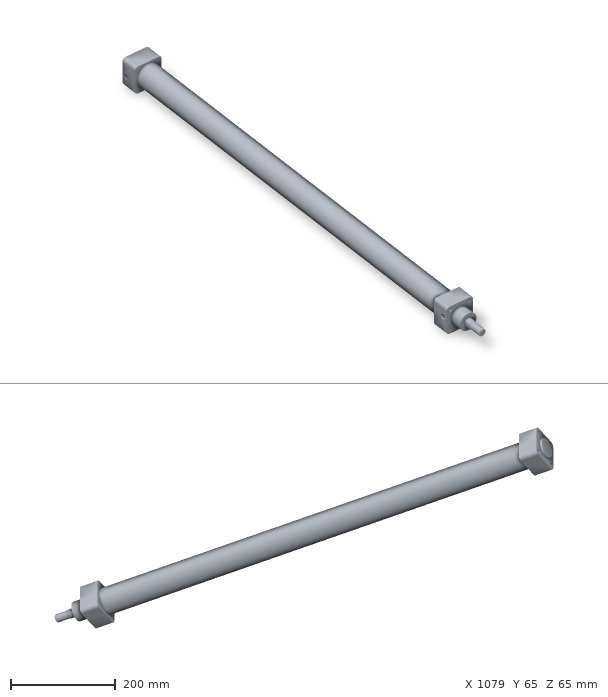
import cadquery as cq

length = 1079.0
square = 65.0
corner_radius = 8.0

boss_height = 4.0
cap_depth = 23.0
flange_depth = 16.0
collar_height = 26.0
neck_length = 15.0
rod_length = 44.0

rear_cap_start = boss_height
rear_flange_start = rear_cap_start + cap_depth
tube_start = rear_flange_start + flange_depth
rod_start = length - rod_length
front_cap_end = rod_start - collar_height
front_cap_start = front_cap_end - cap_depth
front_flange_start = front_cap_start - flange_depth
neck_end = rod_start + neck_length

tube_diameter = 54.0
boss_diameter = 40.0
neck_diameter = 18.0
thread_diameter = 16.0

flat_spacing = thread_diameter
neck_chamfer = (neck_diameter - thread_diameter) / 2
tip_chamfer = 1.0

port_diameter = 12.0
port_depth = 11.0
port_offset = 5.0

cushion_diameter = 3.0
cushion_depth = 2.0
cushion_inset = 3.0
cushion_offset = 6.0

screw_diameter = 6.0
screw_pitch = 46.0


def cylinder(start, end, diameter):
    """Round bar on the X axis."""
    return cq.Workplane("YZ", origin=(start, 0, 0)).circle(diameter / 2).extrude(end - start)


def square_block(start, depth):
    """Square block centred on the X axis, with its four long edges rounded."""
    block = cq.Workplane("YZ", origin=(start, 0, 0)).rect(square, square).extrude(depth)
    return block.edges("|X").fillet(corner_radius)


def screw_holes(start):
    return (
        cq.Workplane("YZ", origin=(start, 0, 0))
        .rect(screw_pitch, screw_pitch, forConstruction=True)
        .vertices()
        .circle(screw_diameter / 2)
        .extrude(cap_depth)
    )


def side_hole(x, z, diameter, depth):
    """Blind hole drilled into the -Y face."""
    return cq.Workplane("XZ", origin=(x, -square / 2, z)).circle(diameter / 2).extrude(-depth)


def make_cap(start, boss, outward):
    """End cap with its boss. outward is the X direction away from the tube, -1 or 1.

    The side holes lie below the axis on the rear cap and above it on the front cap.
    """
    middle = start + cap_depth / 2
    cushion_x = middle + outward * (cap_depth / 2 - cushion_inset)
    port = side_hole(middle, outward * port_offset, port_diameter, port_depth)
    cushion = side_hole(cushion_x, outward * cushion_offset, cushion_diameter, cushion_depth)
    cap = square_block(start, cap_depth).union(boss)
    return cap.cut(screw_holes(start)).cut(port).cut(cushion)


def make_rod():
    """Rod end: chamfered neck with two flats facing -Y and +Y, then the threaded stub."""
    neck = cylinder(rod_start, neck_end, neck_diameter).faces(">X").chamfer(neck_chamfer)
    between_flats = cq.Workplane("YZ", origin=(rod_start, 0, 0)).rect(flat_spacing, neck_diameter)
    neck = neck.intersect(between_flats.extrude(neck_length))
    thread = cylinder(neck_end, length, thread_diameter).faces(">X").chamfer(tip_chamfer)
    return neck.union(thread)


rear_boss = cylinder(0, rear_cap_start, boss_diameter)
front_collar = cylinder(front_cap_end, rod_start, boss_diameter)
rear_cap = make_cap(rear_cap_start, rear_boss, -1)
front_cap = make_cap(front_cap_start, front_collar, 1)
flanges = [square_block(start, flange_depth) for start in (rear_flange_start, front_flange_start)]
tube = cylinder(tube_start, front_flange_start, tube_diameter)
rod = make_rod()

bodies = [rear_cap, front_cap, *flanges, tube, rod]
result = cq.Compound.makeCompound([body.solids().val() for body in bodies])